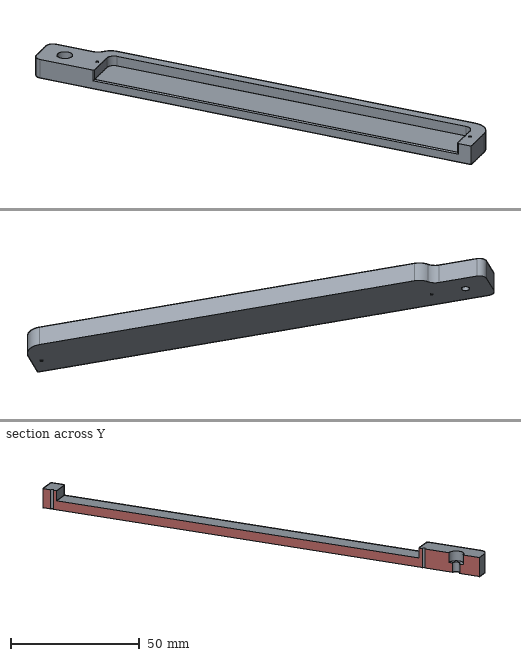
import cadquery as cq
import math

length = 187.0
width = 19.0
height = 8.0
end_corner_radius = 7.0

tab_width = 15.0
tab_corner_radius = 3.0
tab_straight_end = 18.5

shoulder_angle = math.radians(51)
shoulder_outer_radius = 6.0
arc_drop_factor = 1 - math.cos(shoulder_angle)
shoulder_inner_radius = (width - tab_width) / arc_drop_factor - shoulder_outer_radius

pocket_start = 26.0
pocket_end = 181.0
pocket_back = tab_width
pocket_floor = 4.0
pocket_corner_radius = 3.0
mouth_chamfer = 0.5

hole_y = tab_width / 2
mount_hole_x = 10.1
mount_hole_diameter = 3.0
counterbore_diameter = 6.0
counterbore_depth = height / 2
pin_hole_diameter = 1.0
pin_hole_positions = (24.0, 183.1)


def arc_point(center_x, center_y, radius, angle):
    """Point on a circle at an angle measured from the +Y direction toward -X."""
    return (center_x - radius * math.sin(angle), center_y + radius * math.cos(angle))


def make_body():
    inner_center_y = tab_width + shoulder_inner_radius
    outer_center_x = tab_straight_end + (
        shoulder_inner_radius + shoulder_outer_radius
    ) * math.sin(shoulder_angle)
    outer_center_y = width - shoulder_outer_radius

    inner_middle = arc_point(
        tab_straight_end, inner_center_y, shoulder_inner_radius, math.pi + shoulder_angle / 2
    )
    inflection = arc_point(outer_center_x, outer_center_y, shoulder_outer_radius, shoulder_angle)
    outer_middle = arc_point(
        outer_center_x, outer_center_y, shoulder_outer_radius, shoulder_angle / 2
    )

    body = (
        cq.Workplane("XY")
        .moveTo(0, 0)
        .lineTo(0, tab_width)
        .lineTo(tab_straight_end, tab_width)
        .threePointArc(inner_middle, inflection)
        .threePointArc(outer_middle, (outer_center_x, width))
        .lineTo(length, width)
        .lineTo(length, 0)
        .close()
        .extrude(height)
    )
    body = body.edges("|Z and <X").fillet(tab_corner_radius)
    return body.edges("|Z and >X and >Y").fillet(end_corner_radius)


def make_pocket():
    pocket = (
        cq.Workplane("XY", origin=(0, 0, pocket_floor))
        .moveTo(pocket_start, 0)
        .lineTo(pocket_end, 0)
        .lineTo(pocket_end, pocket_back)
        .lineTo(pocket_start, pocket_back)
        .close()
        .extrude(height - pocket_floor)
    )
    return pocket.edges("|Z and >Y").fillet(pocket_corner_radius)


def make_mouth_chamfer():
    """Tapered cut that bevels the floor and both ends of the pocket at the -Y face."""
    cut_height = height - pocket_floor
    center_x = (pocket_start + pocket_end) / 2
    inner_length = pocket_end - pocket_start
    outer_length = inner_length + 2 * mouth_chamfer
    section_height = cut_height + 2 * mouth_chamfer
    center_z = pocket_floor + cut_height / 2
    return (
        cq.Workplane("XZ", origin=(center_x, 0, center_z))
        .rect(outer_length, section_height)
        .workplane(offset=-mouth_chamfer)
        .rect(inner_length, cut_height)
        .loft(ruled=True)
    )


def drill_holes(body):
    body = (
        body.faces(">Z")
        .workplane(origin=(0, 0, height))
        .pushPoints([(mount_hole_x, hole_y)])
        .cboreHole(mount_hole_diameter, counterbore_diameter, counterbore_depth)
    )
    return (
        body.faces(">Z")
        .workplane(origin=(0, 0, height))
        .pushPoints([(x, hole_y) for x in pin_hole_positions])
        .hole(pin_hole_diameter)
    )


result = drill_holes(make_body().cut(make_pocket()).cut(make_mouth_chamfer()))